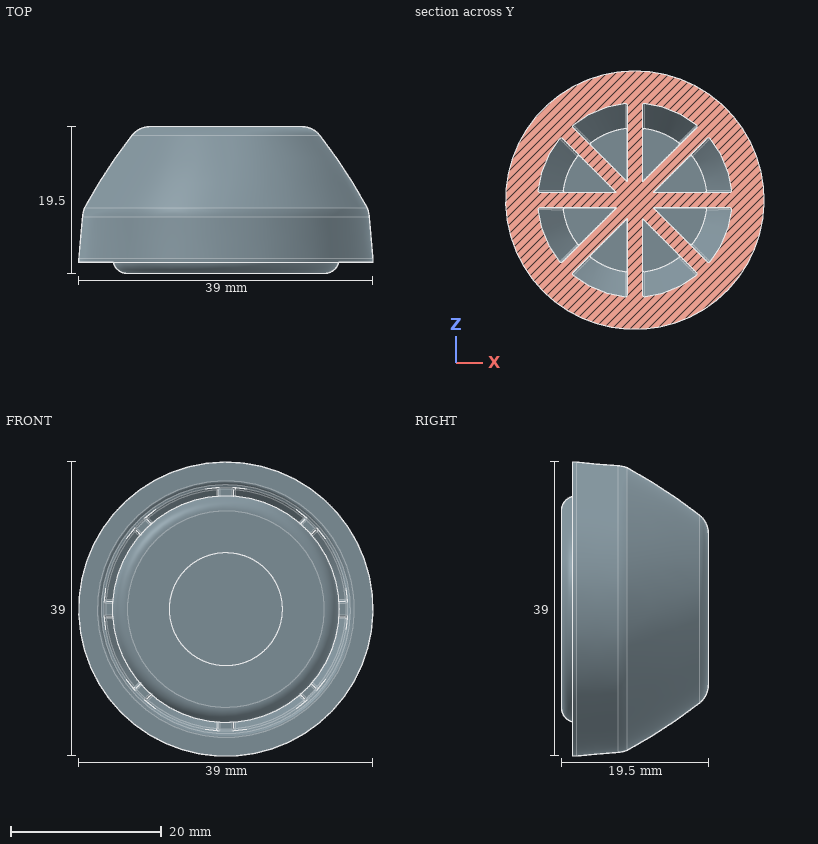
import cadquery as cq
import math


rim_radius = 19.5
cup_height = 18.0
rim_band = 0.5
skirt_draft = 5.0
skirt_end = 6.0
flank_start = (18.75, 7.2)
flank_end = (12.48, 16.8)
flank_bulge = 0.25
back_flat_radius = 10.05

back_thickness = 3.0
mouth_radius = 17.0
lip_round = 0.5
wall_bend_start = 4.52
wall_bend_radius = 1.75
wall_slope = 33.0

rib_count = 8
rib_width = 2.03
rib_face_y = 4.7
rib_round = 0.25

puck_radius = 15.0
puck_round = 2.0
puck_overhang = 1.5
dimple_radius = 7.5
dimple_depth = 0.4

throat_radius = mouth_radius - lip_round
wall_bend_start_radius = throat_radius - (wall_bend_start - lip_round) * math.tan(math.radians(skirt_draft))
wall_bend_center = (
    wall_bend_start_radius - wall_bend_radius * math.cos(math.radians(skirt_draft)),
    wall_bend_start - wall_bend_radius * math.sin(math.radians(skirt_draft)),
)
wall_bend_end_radius = wall_bend_center[0] + wall_bend_radius * math.cos(math.radians(wall_slope))
wall_bend_end = wall_bend_center[1] + wall_bend_radius * math.sin(math.radians(wall_slope))
floor_y = cup_height - back_thickness
floor_radius = wall_bend_end_radius - (floor_y - wall_bend_end) * math.tan(math.radians(wall_slope))
skirt_end_radius = rim_radius - (skirt_end - rim_band) * math.tan(math.radians(skirt_draft))
tolerance = 0.05
puck_front = -puck_overhang


def point_on_circle(center, radius, degrees):
    """Point on a circle in the (radius, Y) profile plane."""
    angle = math.radians(degrees)
    return (center[0] + radius * math.cos(angle), center[1] + radius * math.sin(angle))


def arc_middle(start, end, bulge):
    """Point over the middle of a chord, offset to its right by the bulge."""
    dx = end[0] - start[0]
    dy = end[1] - start[1]
    length = math.hypot(dx, dy)
    return ((start[0] + end[0]) / 2 + bulge * dy / length, (start[1] + end[1]) / 2 - bulge * dx / length)


def turn(profile):
    return profile.close().revolve(360, (0, 0), (0, 1))


def make_cup_shell():
    lip_middle = point_on_circle((mouth_radius, lip_round), lip_round, 225)
    bend_middle = point_on_circle(wall_bend_center, wall_bend_radius, (skirt_draft + wall_slope) / 2)
    profile = (
        cq.Workplane("XY")
        .moveTo(0, floor_y)
        .lineTo(floor_radius, floor_y)
        .lineTo(wall_bend_end_radius, wall_bend_end)
        .threePointArc(bend_middle, (wall_bend_start_radius, wall_bend_start))
        .lineTo(throat_radius, lip_round)
        .threePointArc(lip_middle, (mouth_radius, 0))
        .lineTo(rim_radius, 0)
        .lineTo(rim_radius, rim_band)
        .lineTo(skirt_end_radius, skirt_end)
        .tangentArcPoint(flank_start, relative=False)
        .threePointArc(arc_middle(flank_start, flank_end, flank_bulge), flank_end)
        .tangentArcPoint((back_flat_radius, cup_height), relative=False)
        .lineTo(0, cup_height)
    )
    return turn(profile).rotate((0, 0, 0), (0, 1, 0), 180 / rib_count)


def make_rib(angle):
    """Rib from the axis into the wall and down to the cavity floor, its rounded face towards the rim."""
    root_depth = throat_radius - wall_bend_end_radius
    rib = (
        cq.Workplane("XY")
        .moveTo(0, rib_face_y)
        .lineTo(throat_radius, rib_face_y)
        .lineTo(throat_radius, wall_bend_end)
        .lineTo(floor_radius + root_depth, floor_y)
        .lineTo(0, floor_y)
        .close()
        .extrude(rib_width / 2, both=True)
        .edges("<Y and |X")
        .fillet(rib_round)
    )
    return rib.rotate((0, 0, 0), (0, 1, 0), angle)


def is_rib_joint(edge):
    """True for the curved edges along which a rib meets the cavity wall."""
    middle = edge.positionAt(0.5)
    radius = math.hypot(middle.x, middle.z)
    off_rib_line = math.remainder(math.atan2(middle.z, middle.x), 2 * math.pi / rib_count)
    beside_rib = abs(radius * math.sin(off_rib_line)) < rib_width / 2 + tolerance
    on_wall = edge.geomType() != "LINE" and floor_radius < radius < throat_radius
    return beside_rib and on_wall and middle.y > rib_face_y - tolerance


def make_cup():
    cup = make_cup_shell()
    for index in range(rib_count):
        cup = cup.union(make_rib(index * 360 / rib_count))
    return cup.edges().filter(is_rib_joint).fillet(rib_round)


def make_puck():
    round_middle = point_on_circle((puck_radius - puck_round, puck_front + puck_round), puck_round, -45)
    profile = (
        cq.Workplane("XY")
        .moveTo(0, puck_front + dimple_depth)
        .lineTo(dimple_radius, puck_front + dimple_depth)
        .lineTo(dimple_radius, puck_front)
        .lineTo(puck_radius - puck_round, puck_front)
        .threePointArc(round_middle, (puck_radius, puck_front + puck_round))
        .lineTo(puck_radius, rib_face_y)
        .lineTo(0, rib_face_y)
    )
    return turn(profile)


cup = make_cup()
puck = make_puck()

result = cq.Compound.makeCompound([cup.solids().val(), puck.val()])